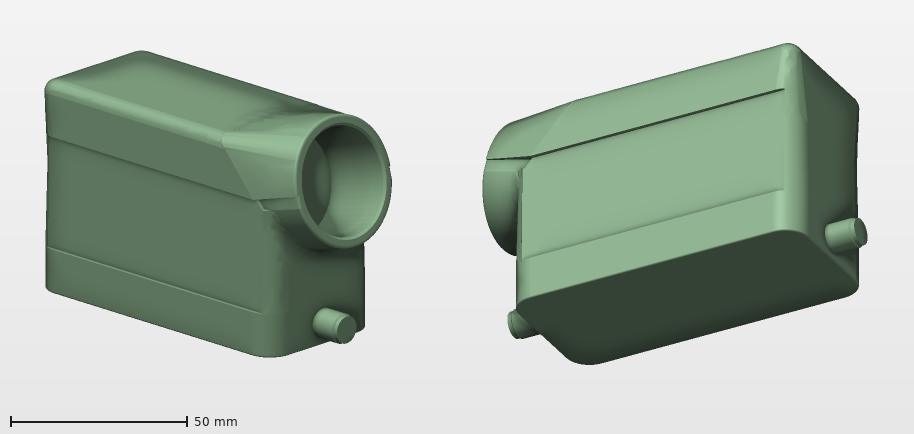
import cadquery as cq
import math

base_length = 93.5
base_width = 43.0
base_height = 13.1
base_corner_radius = 7.5
bottom_edge_fillet = 0.5

hood_top = 62.7
corner_change_height = 38.0
top_corner_radius = 3.4
top_edge_fillet = 3.6
end_draft = 1.25
side_draft = 0.7

panel_top = 46.6
panel_half_length = 42.5
panel_half_width_bottom = 20.4
panel_half_width_top = 19.8

pin_diameter = 8.8
pin_tip_diameter = 8.0
pin_height = 6.4
pin_end = 56.0
pin_tip_length = 1.2
pin_shoulder_chamfer = (pin_diameter - pin_tip_diameter) / 2

collar_tilt = 15.0
collar_radius = 19.2
collar_rim_fillet = 0.8
collar_face_x = 55.02
collar_face_z = 50.75
collar_flat_half_width = 18.85
collar_root_fillet = 5.0
collar_neck_length = 20.0
bore_diameter = 32.0
bore_depth = 22.0
bore_mouth_chamfer = 0.7

flare_top_x = 25.0
flare_bottom_x = 39.4
flare_trim_height = 43.9
neck_overlap = 1.0
root_edge_min_x = 43.7
flare_side_angle = 31.0
flare_corner_angle = 54.5
flare_blend_setback = 6.5
blend_root_depth = 1.0
blend_steps = 4
blend_end_fraction = 0.98


def half_length_at(z):
    return base_length / 2 - (z - base_height) * math.tan(math.radians(end_draft))


def half_width_at(z):
    return base_width / 2 - (z - base_height) * math.tan(math.radians(side_draft))


def hood_outline(z, corner_radius):
    return (
        cq.Sketch()
        .rect(2 * half_length_at(z), 2 * half_width_at(z))
        .vertices()
        .fillet(corner_radius)
        .moved(cq.Location(cq.Vector(0, 0, z)))
    )


def make_skirt():
    return (
        cq.Workplane("XY")
        .rect(base_length, base_width)
        .extrude(base_height)
        .edges("|Z")
        .fillet(base_corner_radius)
        .faces("<Z")
        .edges()
        .fillet(bottom_edge_fillet)
    )


def make_hood():
    lower = cq.Workplane().placeSketch(
        hood_outline(base_height, base_corner_radius),
        hood_outline(corner_change_height, base_corner_radius),
    ).loft(ruled=True)
    upper = cq.Workplane().placeSketch(
        hood_outline(corner_change_height, base_corner_radius),
        hood_outline(hood_top, top_corner_radius),
    ).loft(ruled=True)
    upper = upper.faces(">Z").edges().fillet(top_edge_fillet)
    return lower.union(upper)


def make_panel_cut(side):
    """Recess in the side wall facing -Y (side -1) or +Y (side 1)."""
    outside = base_width
    return (
        cq.Workplane("YZ", origin=(-panel_half_length, 0, 0))
        .polyline([
            (side * panel_half_width_bottom, base_height),
            (side * panel_half_width_top, panel_top),
            (side * outside, panel_top),
            (side * outside, base_height),
        ])
        .close()
        .extrude(2 * panel_half_length)
    )


tilt = math.radians(collar_tilt)
collar_axis = cq.Vector(math.cos(tilt), 0, math.sin(tilt))
collar_face = cq.Plane(
    origin=(collar_face_x, 0, collar_face_z), xDir=(0, 1, 0), normal=collar_axis.toTuple()
)


def make_collar_neck():
    """Lower half of the collar: a half cylinder with flattened sides."""
    cylinder = cq.Workplane(collar_face).circle(collar_radius).extrude(-collar_neck_length)
    lower_half = (
        cq.Workplane(collar_face)
        .center(0, neck_overlap - collar_radius)
        .rect(2 * collar_flat_half_width, 2 * collar_radius)
        .extrude(-collar_neck_length)
    )
    return cylinder.intersect(lower_half)


def flare_x(z):
    slope = (flare_bottom_x - flare_top_x) / (hood_top - panel_top)
    return flare_top_x + (hood_top - z) * slope


def flare_point(y, z):
    return cq.Vector(flare_x(z), y, z)


def collar_point(angle):
    a = math.radians(angle)
    return collar_face.toWorldCoords((collar_radius * math.cos(a), collar_radius * math.sin(a)))


edge_turn = math.radians(90 - side_draft)


def hood_edge_tangents():
    """Y on the hood top and Z on the side wall where the top edge fillet starts and ends."""
    setback = top_edge_fillet * math.tan(edge_turn / 2)
    return half_width_at(hood_top) - setback, hood_top - setback * math.sin(edge_turn)


def make_flare():
    """Upper half of the collar: ruled from the hood's upper section to a half circle."""
    top_y, shoulder_z = hood_edge_tangents()
    shoulder_y = half_width_at(shoulder_z)
    corner_y = top_y + top_edge_fillet * math.sin(edge_turn / 2)
    corner_z = hood_top - top_edge_fillet * (1 - math.cos(edge_turn / 2))
    bottom_y = half_width_at(panel_top)

    root = cq.Wire.assembleEdges([
        cq.Edge.makeLine(flare_point(-bottom_y, panel_top), flare_point(bottom_y, panel_top)),
        cq.Edge.makeLine(flare_point(bottom_y, panel_top), flare_point(shoulder_y, shoulder_z)),
        cq.Edge.makeThreePointArc(
            flare_point(shoulder_y, shoulder_z),
            flare_point(corner_y, corner_z),
            flare_point(top_y, hood_top),
        ),
        cq.Edge.makeLine(flare_point(top_y, hood_top), flare_point(-top_y, hood_top)),
        cq.Edge.makeThreePointArc(
            flare_point(-top_y, hood_top),
            flare_point(-corner_y, corner_z),
            flare_point(-shoulder_y, shoulder_z),
        ),
        cq.Edge.makeLine(flare_point(-shoulder_y, shoulder_z), flare_point(-bottom_y, panel_top)),
    ])
    angles = [0, flare_side_angle, flare_corner_angle]
    angles += [180 - angle for angle in reversed(angles)]
    rim_edges = [cq.Edge.makeLine(collar_point(180), collar_point(0))]
    for start, end in zip(angles, angles[1:]):
        rim_edges.append(
            cq.Edge.makeThreePointArc(
                collar_point(start), collar_point((start + end) / 2), collar_point(end)
            )
        )
    rim = cq.Wire.assembleEdges(rim_edges)
    return cq.Workplane(cq.Solid.makeLoft([root, rim], True))


def make_flare_trim():
    """Region beyond the oblique plane that the collar replaces."""
    return (
        cq.Workplane("XZ", origin=(0, base_width, 0))
        .polyline([
            (flare_top_x, hood_top),
            (flare_x(flare_trim_height), flare_trim_height),
            (base_length, flare_trim_height),
            (base_length, hood_top),
        ])
        .close()
        .extrude(2 * base_width)
    )


def make_flare_blend():
    """Concave blend between the hood top and the flare, fading out at both ends."""
    end_y, _ = hood_edge_tangents()
    along_hood = cq.Vector(1, 0, 0)
    sections = []
    for step in range(-blend_steps, blend_steps + 1):
        fraction = blend_end_fraction * step / blend_steps
        setback = flare_blend_setback * math.cos(fraction * math.pi / 2)
        corner = flare_point(fraction * end_y, hood_top)
        rim_point = collar_point(90 - fraction * (90 - flare_corner_angle))
        along_flare = (rim_point - corner).normalized()
        on_top = corner - along_hood * setback
        on_flare = corner + along_flare * setback
        inward = (along_hood - along_flare).normalized()
        buried = corner + inward * blend_root_depth
        curve = cq.Edge.makeSpline([on_top, on_flare], tangents=[along_hood, along_flare])
        sections.append(
            cq.Wire.assembleEdges([
                curve,
                cq.Edge.makeLine(on_flare, buried),
                cq.Edge.makeLine(buried, on_top),
            ])
        )
    return cq.Workplane(cq.Solid.makeLoft(sections))


def round_collar_root(part):
    """Fillet where the underside of the collar meets the end wall and its corners."""
    root_zone = cq.selectors.BoxSelector(
        (panel_half_length, -base_width, base_height),
        (base_length, base_width, flare_trim_height),
    )
    root_edges = part.edges(root_zone).filter(is_collar_root_edge)
    return root_edges.fillet(collar_root_fillet)


def is_collar_root_edge(edge):
    is_intersection_curve = edge.geomType() in ("BSPLINE", "ELLIPSE")
    return is_intersection_curve and edge.Center().x > root_edge_min_x


def round_collar_rim(part):
    rim = part.faces(cq.selectors.DirectionMinMaxSelector(collar_axis)).edges()
    return rim.fillet(collar_rim_fillet)


def make_bore():
    """Blind bore along the collar axis, with a chamfered mouth."""
    bore_radius = bore_diameter / 2
    mouth_radius = bore_radius + bore_mouth_chamfer
    bore = cq.Workplane(collar_face).circle(bore_radius).extrude(-bore_depth)
    mouth = (
        cq.Workplane(collar_face)
        .circle(mouth_radius)
        .workplane(offset=-bore_mouth_chamfer)
        .circle(bore_radius)
        .loft(ruled=True)
    )
    return bore.union(mouth)


def make_pin(outward):
    """Stepped pin from the middle of the part out through the -X (-1) or +X (1) end."""
    half_profile = [
        (0, 0),
        (0, pin_diameter / 2),
        (outward * (pin_end - pin_tip_length - pin_shoulder_chamfer), pin_diameter / 2),
        (outward * (pin_end - pin_tip_length), pin_tip_diameter / 2),
        (outward * pin_end, pin_tip_diameter / 2),
        (outward * pin_end, 0),
    ]
    return (
        cq.Workplane("XZ", origin=(0, 0, pin_height))
        .polyline(half_profile)
        .close()
        .revolve(360, (0, 0, 0), (1, 0, 0))
    )


collar_neck = make_collar_neck()
result = round_collar_root(make_hood().union(collar_neck)).cut(make_flare_trim())
for side in (-1, 1):
    result = result.cut(make_panel_cut(side))
result = result.union(make_skirt()).union(collar_neck)
result = result.union(make_flare()).union(make_flare_blend())
result = round_collar_rim(result).cut(make_bore())
for outward in (-1, 1):
    result = result.union(make_pin(outward))